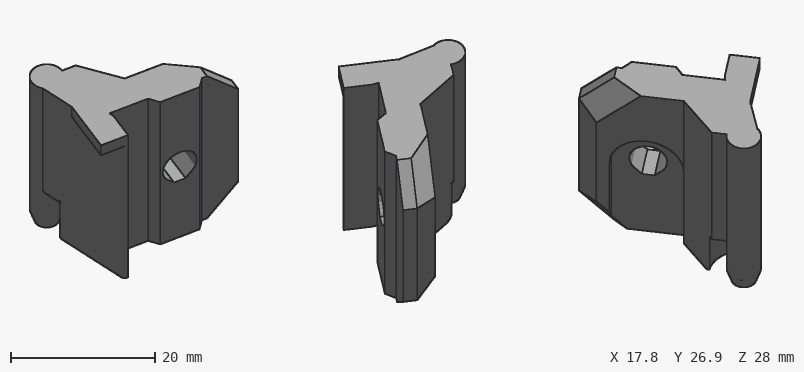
import cadquery as cq
import math

height = 28.0
overall_width = 17.8
overall_depth = 26.9
pin_radius = 4.8 / 2
pin_tip_radius = 1.75
pin_tip_height = 2.02

plate_left = 5.45
plate_right = 10.47
plate_end = overall_depth - pin_radius
bevel_x = 8.48
bevel_start_y = 21.55
corner_cut = 4.95
corner_cut_left = 9.18

neck_shoulder_y = 4.55
neck_top_y = 9.32

rib_right = 11.87
rib_half_base = 4.23
rib_half_crest = 3.1
hole_y = 14.53
hole_z = height / 2

flange_right = overall_width - pin_radius
flange_back_y = 4.48
groove_depth = 0.2
groove_width = 0.9
lip_height = 1.95
lip_front_y = 0.22
lip_start_x = 6.9
slant_start_x = 1.12
slant_start_y = -1.85
slant = (lip_front_y - slant_start_y) / (lip_start_x - slant_start_x)
flange_end_y = slant_start_y + slant * (flange_right - slant_start_x)

clearance_radius = 4.82
clearance_height = 7.0
edge_radius = 1.0

recess_radius = hole_y - neck_top_y
recess_depth = 1.55
hole_radius = 2.65
hole_flat_drop = 2.85


def body_layer(front_points, z, thickness):
    """Extrude the body section, closed by the given flange front points."""
    back_points = [
        (0, 0),
        (0, neck_shoulder_y),
        (plate_left, neck_top_y),
        (plate_left, bevel_start_y),
        (bevel_x, plate_end),
        (plate_right, plate_end),
        (plate_right, hole_y + rib_half_base),
        (rib_right, hole_y + rib_half_crest),
        (rib_right, hole_y - rib_half_crest),
        (plate_right, hole_y - rib_half_base),
        (plate_right, flange_back_y - groove_depth),
        (plate_right + groove_width, flange_back_y),
        (flange_right, flange_back_y),
    ]
    section = cq.Workplane("XY").workplane(offset=z).polyline(back_points + front_points)
    return section.close().extrude(thickness)


def slant_edge(x, z):
    """Box selector around a point on the slanted front face."""
    y = slant_start_y + slant * (x - slant_start_x)
    reach = 0.15
    return cq.selectors.BoxSelector(
        (x - reach, y - reach, z - reach), (x + reach, y + reach, z + reach), boundingbox=False
    )


def lower_body():
    """Body below the lip, with the pin clearance and its rounded edges."""
    layer_height = height - lip_height
    body = body_layer([(flange_right, flange_end_y), (slant_start_x, slant_start_y)], 0, layer_height)
    body = body.cut(cq.Workplane("XY").circle(clearance_radius).extrude(clearance_height))

    offset = slant_start_y - slant * slant_start_x
    root = math.sqrt(clearance_radius**2 * (1 + slant**2) - offset**2)
    wall_x = (root - slant * offset) / (1 + slant**2)

    bottom_edge = slant_edge((wall_x + flange_right) / 2, 0)
    ceiling_edge = slant_edge((slant_start_x + wall_x) / 2, clearance_height)
    end_edge = slant_edge(flange_right, layer_height / 2)
    rim_edge = cq.selectors.BoxSelector(
        (0, 0, -edge_radius / 2),
        (clearance_radius, clearance_radius, edge_radius / 2),
        boundingbox=False,
    )
    return body.edges(bottom_edge + end_edge + ceiling_edge + rim_edge).fillet(edge_radius)


def pin():
    shaft = cq.Workplane("XY").workplane(offset=pin_tip_height).circle(pin_radius)
    shaft = shaft.extrude(height - pin_tip_height)
    tip = cq.Workplane("XY").circle(pin_tip_radius).workplane(offset=pin_tip_height).circle(pin_radius)
    return shaft.union(tip.loft())


def corner_cutter():
    """Wedge removing the upper plate corner with a plane that also leans in X."""
    diagonal = cq.Plane(origin=(0, plate_end, height), xDir=(1, 0, 0), normal=(0, 1, -1))
    inner = corner_cut / math.sqrt(2)
    outer = corner_cut_left / math.sqrt(2)
    points = [
        (plate_left, 0),
        (plate_left, outer),
        (bevel_x, inner),
        (plate_right, inner),
        (plate_right, 0),
    ]
    return cq.Workplane(diagonal).polyline(points).close().extrude(height / 2, both=True)


def recess():
    """Round-topped pocket in the left plate face, open at the bottom."""
    side = cq.Workplane("YZ").workplane(offset=plate_left)
    pocket = side.center(hole_y, hole_z).circle(recess_radius).extrude(recess_depth)
    leg = side.center(hole_y, hole_z / 2).rect(2 * recess_radius, hole_z).extrude(recess_depth)
    return pocket.union(leg)


def hole():
    """Through hole with 45 degree lower flanks ending in a flat."""
    tangent = hole_radius / math.sqrt(2)
    flat_half = hole_radius * math.sqrt(2) - hole_flat_drop
    outline = (
        cq.Workplane("YZ")
        .center(hole_y, hole_z)
        .moveTo(-tangent, -tangent)
        .threePointArc((0, hole_radius), (tangent, -tangent))
        .lineTo(flat_half, -hole_flat_drop)
        .lineTo(-flat_half, -hole_flat_drop)
        .close()
    )
    return outline.extrude(rib_right)


lip_front = [
    (flange_right, lip_front_y),
    (lip_start_x, lip_front_y),
    (slant_start_x, slant_start_y),
]
upper_corner = corner_cutter()
lower_corner = upper_corner.mirror("XY", (0, 0, height / 2))

result = lower_body().union(body_layer(lip_front, height - lip_height, lip_height))
result = result.cut(upper_corner).cut(lower_corner).cut(recess()).cut(hole())
result = result.union(pin()).clean()